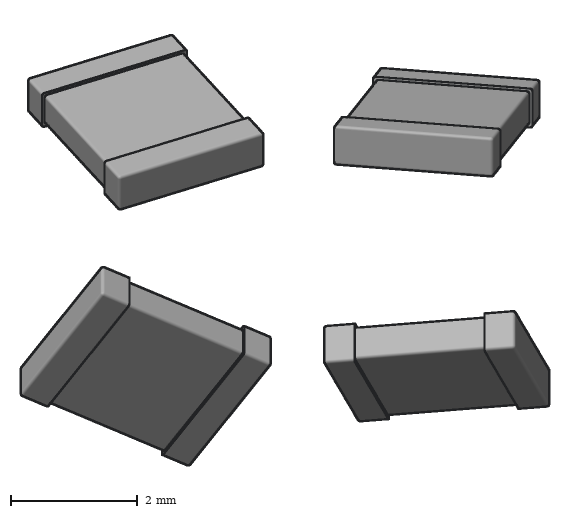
import cadquery as cq

LENGTH = 3.1
WIDTH = 2.6
HEIGHT = 0.65

TERMINAL_LENGTH = 0.5
STEP = 0.05
EDGE_RADIUS = 0.05

BODY_LENGTH = LENGTH - 2 * TERMINAL_LENGTH
BODY_WIDTH = WIDTH - 2 * STEP
BODY_HEIGHT = HEIGHT - 2 * STEP
TERMINAL_OFFSET = (LENGTH - TERMINAL_LENGTH) / 2


def make_body():
    """Central block, rounded along its four lengthwise edges."""
    return cq.Workplane("XY").box(BODY_LENGTH, BODY_WIDTH, BODY_HEIGHT).edges("|X").fillet(EDGE_RADIUS)


def make_terminal(side):
    """End block on the -X (side = -1) or +X (side = 1) end; its inner face keeps sharp edges."""
    outer_face = ">X" if side > 0 else "<X"
    block = cq.Workplane("XY").box(TERMINAL_LENGTH, WIDTH, HEIGHT)
    block = block.edges(f"|X or ({outer_face})").fillet(EDGE_RADIUS)
    return block.translate((side * TERMINAL_OFFSET, 0, 0))


body = make_body()
terminals = [make_terminal(side) for side in (-1, 1)]

result = cq.Compound.makeCompound([body.val(), *[terminal.val() for terminal in terminals]])